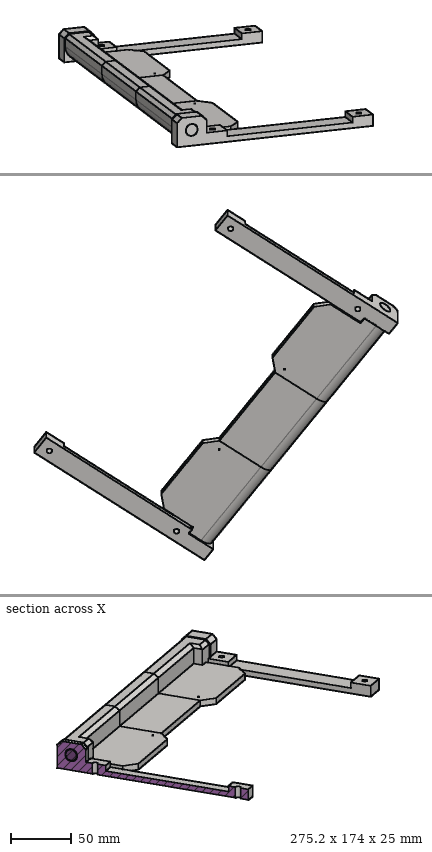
import cadquery as cq


overall_width = 275.2
arm_length = 174.0
arm_width = 17.3
arm_thickness = 5.0
pad_height = 10.0
end_pad_length = 18.2
front_pad_end = 44.5
screw_hole_diameter = 4.5
screw_hole_spacing = 130.0
screw_hole_inset = 9.4

post_width = 12.7
post_depth = 26.5
post_height = 25.0
post_chamfer = 4.0

pivot_y = 13.0
pivot_z = 13.8
pin_diameter = 10.2
pin_hole_diameter = 10.5

housing_radius = 12.0
housing_front = pivot_y - housing_radius
housing_back = pivot_y + housing_radius
housing_top = 24.2
housing_chamfer = 3.3
housing_bottom = pivot_z - housing_radius
end_block_width = 11.5

rim_drop = 3.0
rim_back_run = 4.0
rim_side_run = 2.0
recess_front = 13.0

plate_top = 7.2
plate_thickness = plate_top - housing_bottom
middle_width = 79.3
middle_plate_back = 55.0
side_plate_back = 65.0
plate_corner = side_plate_back - middle_plate_back
side_plate_gap = 1.7
mark_hole_diameter = 1.0
mark_hole_inset_x = 7.0
mark_hole_inset_y = 4.7

half_width = overall_width / 2
post_inner_x = half_width - post_width
plate_outer_x = half_width - arm_width - side_plate_gap
block_inner_x = post_inner_x - end_block_width
middle_half = middle_width / 2


def extrude_along_x(profile, x_start, x_end):
    """Extrude a closed profile, drawn as (y, z), between two X positions."""
    return profile.extrude(x_end - x_start).translate((x_start, 0, 0))


def make_arm():
    """Right-hand arm: two screw pads joined by a strip, and a bored post at the front.

    The strip ends in a low lip that reaches from the front pad to the back of the housing.
    """
    strip_profile = (
        cq.Workplane("YZ")
        .moveTo(housing_back, 0)
        .lineTo(arm_length, 0)
        .lineTo(arm_length, pad_height)
        .lineTo(arm_length - end_pad_length, pad_height)
        .lineTo(arm_length - end_pad_length, arm_thickness)
        .lineTo(front_pad_end, arm_thickness)
        .lineTo(front_pad_end, pad_height)
        .lineTo(post_depth, pad_height)
        .lineTo(post_depth, arm_thickness)
        .lineTo(housing_back, arm_thickness)
        .close()
    )
    arm = extrude_along_x(strip_profile, half_width - arm_width, half_width)

    post_profile = (
        cq.Workplane("YZ")
        .moveTo(0, 0)
        .lineTo(post_depth, 0)
        .lineTo(post_depth, post_height - post_chamfer)
        .lineTo(post_depth - post_chamfer, post_height)
        .lineTo(post_chamfer, post_height)
        .lineTo(0, post_height - post_chamfer)
        .close()
    )
    arm = arm.union(extrude_along_x(post_profile, post_inner_x, half_width))

    pin_hole = cq.Workplane("YZ").center(pivot_y, pivot_z).circle(pin_hole_diameter / 2)
    arm = arm.cut(extrude_along_x(pin_hole, post_inner_x, half_width))

    rear_hole_y = arm_length - screw_hole_inset
    screw_x = half_width - arm_width / 2
    screw_holes = (
        cq.Workplane("XY")
        .pushPoints([(screw_x, rear_hole_y), (screw_x, rear_hole_y - screw_hole_spacing)])
        .circle(screw_hole_diameter / 2)
        .extrude(pad_height)
    )
    return arm.cut(screw_holes)


def make_housing(x_start, x_end):
    """Paddle housing with its full depth, before the recess is cut."""
    shoulder_z = housing_top - housing_chamfer
    profile = (
        cq.Workplane("YZ")
        .moveTo(housing_front, pivot_z)
        .lineTo(housing_front, shoulder_z)
        .lineTo(housing_front + housing_chamfer, housing_top)
        .lineTo(housing_back - housing_chamfer, housing_top)
        .lineTo(housing_back, shoulder_z)
        .lineTo(housing_back, housing_bottom)
        .lineTo(pivot_y, housing_bottom)
        .radiusArc((housing_front, pivot_z), housing_radius)
        .close()
    )
    return extrude_along_x(profile, x_start, x_end)


def make_recess():
    """Space behind all three housings, from the plate top up, with a sloped rim."""
    rim_bottom = housing_top - rim_drop
    wall_y = recess_front + rim_back_run
    wall_x = block_inner_x - rim_side_run
    well = (
        cq.Workplane("XY", origin=(0, 0, plate_top))
        .moveTo(-wall_x, wall_y)
        .lineTo(wall_x, wall_y)
        .lineTo(wall_x, post_depth)
        .lineTo(-wall_x, post_depth)
        .close()
        .extrude(housing_top - plate_top)
    )
    rim_depth = post_depth - recess_front
    rim = (
        cq.Workplane("XY", origin=(0, post_depth, rim_bottom))
        .rect(2 * wall_x, 2 * (post_depth - wall_y))
        .workplane(offset=rim_drop)
        .rect(2 * block_inner_x, 2 * rim_depth)
        .loft(ruled=True)
    )
    return well.union(rim)


def make_middle_paddle():
    """Middle paddle: recessed housing with a plain rectangular plate."""
    plate_depth = middle_plate_back - pivot_y
    plate = (
        cq.Workplane("XY", origin=(0, pivot_y, housing_bottom))
        .box(middle_width, plate_depth, plate_thickness, centered=(True, False, False))
    )
    return make_housing(-middle_half, middle_half).cut(make_recess()).union(plate)


def make_side_paddle():
    """Right-hand paddle: recessed housing, plate with cut corners, and a hinge pin."""
    paddle = make_housing(middle_half, post_inner_x).cut(make_recess())

    plate = (
        cq.Workplane("XY", origin=(0, 0, housing_bottom))
        .moveTo(middle_half, pivot_y)
        .lineTo(middle_half, middle_plate_back)
        .lineTo(middle_half + plate_corner, side_plate_back)
        .lineTo(plate_outer_x - plate_corner, side_plate_back)
        .lineTo(plate_outer_x, middle_plate_back)
        .lineTo(plate_outer_x, pivot_y)
        .close()
        .extrude(plate_thickness)
    )
    paddle = paddle.union(plate)

    mark_hole = (
        cq.Workplane("XY", origin=(0, 0, housing_bottom))
        .center(middle_half + mark_hole_inset_x, middle_plate_back - mark_hole_inset_y)
        .circle(mark_hole_diameter / 2)
        .extrude(plate_thickness)
    )
    paddle = paddle.cut(mark_hole)

    pin = cq.Workplane("YZ").center(pivot_y, pivot_z).circle(pin_diameter / 2)
    return paddle.union(extrude_along_x(pin, post_inner_x, half_width))


def right_and_left(body):
    """The right-hand body and its mirror image on the left."""
    return [body.val(), body.mirror("YZ").val()]


arms = right_and_left(make_arm())
side_paddles = right_and_left(make_side_paddle())
middle_paddle = make_middle_paddle()

result = cq.Compound.makeCompound([*arms, *side_paddles, middle_paddle.val()])